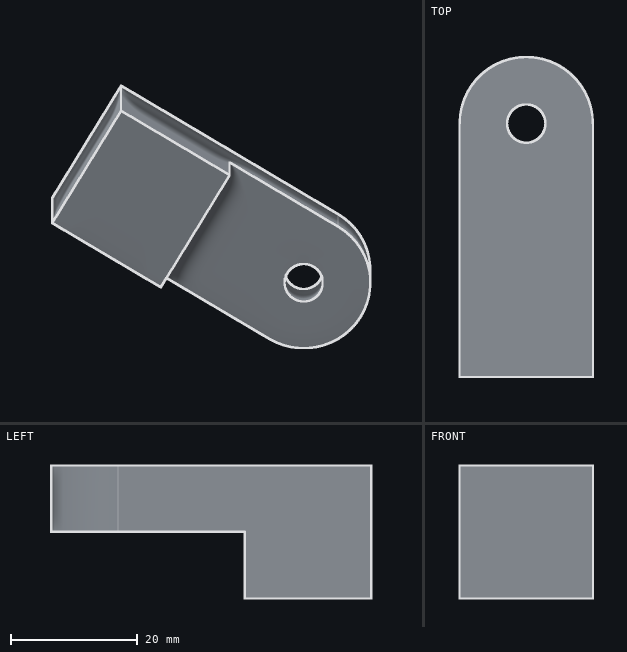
import cadquery as cq

length = 50.5
width = 21.05
block_height = 21.0
block_length = 20.0

arm_thickness = block_height / 2
end_radius = width / 2
hole_diameter = 6.0
hole_y = length - end_radius


def make_block():
    """Rectangular block at the front, with its top face at Z = 0."""
    return cq.Workplane("XY").box(width, block_length, block_height).translate(
        (0, block_length / 2, -block_height / 2)
    )


def make_arm():
    """Flat arm with a semicircular end and a through hole at its centre."""
    return (
        cq.Workplane("XY")
        .moveTo(-end_radius, block_length)
        .lineTo(-end_radius, hole_y)
        .threePointArc((0, length), (end_radius, hole_y))
        .lineTo(end_radius, block_length)
        .close()
        .moveTo(0, hole_y)
        .circle(hole_diameter / 2)
        .extrude(-arm_thickness)
    )


result = make_block().union(make_arm())